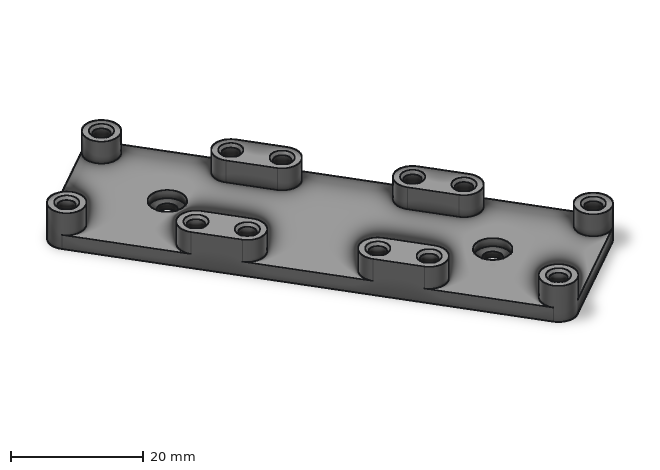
import cadquery as cq

length = 83.1
width = 26.35
height = 6.6
plate_thickness = 2.6

boss_diameter = 6.0
boss_hole_diameter = 2.8
boss_hole_chamfer = 0.5
boss_mouth_angle = 90
pair_inner_x = 10.2
pair_outer_x = 18.3

mount_x = 25.5
mount_hole_diameter = 3.2
mount_recess_diameter = 6.0
mount_recess_depth = 1.5

boss_radius = boss_diameter / 2
corner_x = length / 2 - boss_radius
row_y = width / 2 - boss_radius
pair_center_x = (pair_inner_x + pair_outer_x) / 2
pair_length = pair_outer_x - pair_inner_x + boss_diameter


def mirrored_points(x, y):
    """Return the four points mirrored about the X and Y axes."""
    return [(side_x * x, side_y * y) for side_x in (-1, 1) for side_y in (-1, 1)]


corner_points = mirrored_points(corner_x, row_y)
pair_points = mirrored_points(pair_center_x, row_y)

plate = (
    cq.Workplane("XY")
    .rect(length, width)
    .extrude(plate_thickness)
    .edges("|Z")
    .chamfer(boss_radius)
)
corner_bosses = cq.Workplane("XY").pushPoints(corner_points).circle(boss_radius).extrude(height)
pair_bosses = cq.Workplane("XY").pushPoints(pair_points).slot2D(pair_length, boss_diameter).extrude(height)
body = plate.union(corner_bosses).union(pair_bosses)

boss_hole_points = (
    corner_points + mirrored_points(pair_inner_x, row_y) + mirrored_points(pair_outer_x, row_y)
)
body = (
    body.faces(">Z")
    .workplane(origin=(0, 0, height))
    .pushPoints(boss_hole_points)
    .cskHole(boss_hole_diameter, boss_hole_diameter + 2 * boss_hole_chamfer, boss_mouth_angle)
)

result = (
    body.copyWorkplane(cq.Workplane("XY", origin=(0, 0, plate_thickness)))
    .pushPoints([(-mount_x, 0), (mount_x, 0)])
    .cboreHole(mount_hole_diameter, mount_recess_diameter, mount_recess_depth)
)